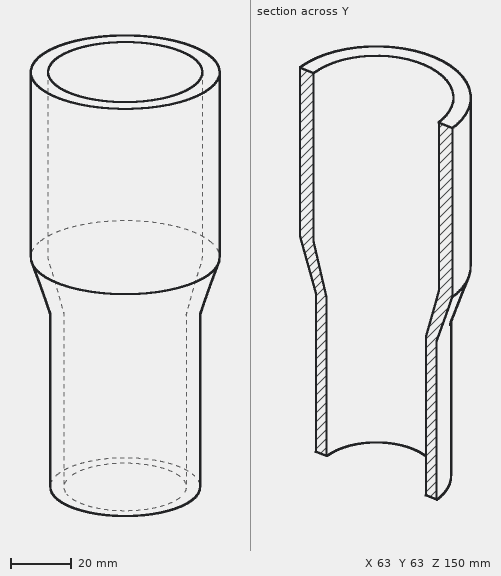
import cadquery as cq

large_diameter = 63.0
large_wall = 5.8
small_diameter = 50.0
small_wall = 4.6

total_length = 150.0
small_length = 63.0
taper_length = 20.0

taper_start = small_length
taper_end = small_length + taper_length


def stepped_body(lower_diameter, upper_diameter):
    """Solid of revolution: lower cylinder, cone, upper cylinder."""
    lower_radius = lower_diameter / 2
    upper_radius = upper_diameter / 2
    profile = (
        cq.Workplane("XZ")
        .lineTo(lower_radius, 0)
        .lineTo(lower_radius, taper_start)
        .lineTo(upper_radius, taper_end)
        .lineTo(upper_radius, total_length)
        .lineTo(0, total_length)
        .close()
    )
    return profile.revolve(360, (0, 0, 0), (0, 1, 0))


outside = stepped_body(small_diameter, large_diameter)
bore = stepped_body(small_diameter - 2 * small_wall, large_diameter - 2 * large_wall)

result = outside.cut(bore)